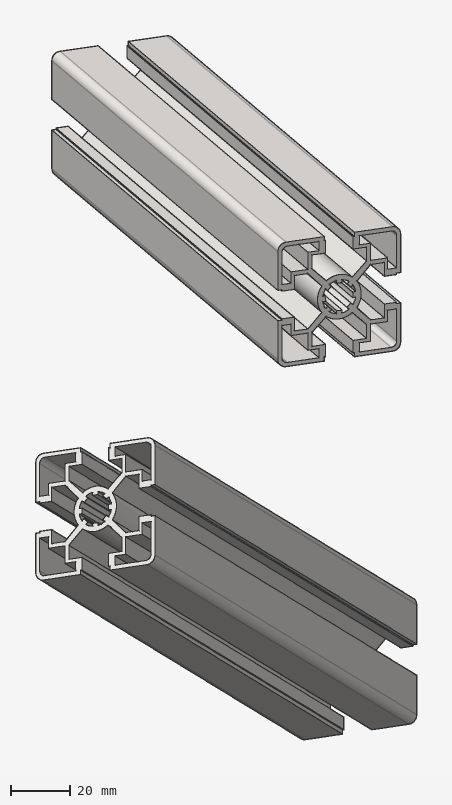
import cadquery as cq
import math

length = 200.0
side = 45.0

wall = 1.5
corner_radius = 3.0
inner_radius = 2.0
lip_floor = 1.2

slot_width = 10.0
slot_mouth_step = 0.5
mouth_step_depth = 1.5
lip_width = 2.5
lip_depth = 6.0
channel_width = 20.0

tube_outer_radius = 8.0
tube_bore_diameter = 12.2
tooth_tip_radius = 5.0
tooth_width = 2.0
tooth_count = 8
web_root_width = 2.5

half = side / 2
inner_face = half - wall
slot_half_width = slot_width / 2
mouth = slot_half_width + slot_mouth_step
mouth_step = half - mouth_step_depth
lip_inner = slot_half_width + lip_width
lip_bottom = half - lip_depth
lip_top = lip_bottom + lip_floor
channel_half_width = channel_width / 2
channel_inner = channel_half_width + wall
tube_inner_radius = tube_bore_diameter / 2
tooth_root_radius = (tube_inner_radius + tube_outer_radius) / 2


def mirrored(points):
    """The same points reflected about the diagonal of the quadrant, in reverse order."""
    return [(z, y) for y, z in reversed(points)]


def extruded(points):
    """Closed Y-Z outline carried along the full length."""
    return cq.Workplane("YZ").polyline(points).close().extrude(length)


def rounded_corner(body, place, radius):
    """Round the lengthwise edge at y = z = place."""
    corner = cq.selectors.NearestToPointSelector((length / 2, place, place))
    return body.edges(corner).fillet(radius)


def corner_hollow():
    """Hollow corner leg with its two slot lips, in the +Y +Z quadrant."""
    outside = [
        (channel_half_width, channel_half_width),
        (channel_half_width, lip_bottom),
        (slot_half_width, lip_bottom),
        (slot_half_width, mouth_step),
        (mouth, mouth_step),
        (mouth, half),
    ]
    cavity = [
        (channel_inner, channel_inner),
        (channel_inner, lip_top),
        (lip_inner, lip_top),
        (lip_inner, inner_face),
    ]
    body = rounded_corner(extruded(outside + [(half, half)] + mirrored(outside)[:-1]), half, corner_radius)
    hollow = rounded_corner(
        extruded(cavity + [(inner_face, inner_face)] + mirrored(cavity)[:-1]), inner_face, inner_radius
    )
    return body.cut(hollow)


def diagonal_web():
    """Web tapering from the corner leg down to the central tube."""
    root_middle = tooth_root_radius / math.sqrt(2)
    root_offset = web_root_width / 2 / math.sqrt(2)
    edge = [
        (root_middle - root_offset, root_middle + root_offset),
        (channel_half_width, channel_inner),
    ]
    return extruded(edge + mirrored(edge))


def central_tube():
    """Round tube whose bore carries straight teeth with tips hollowed to a smaller bore."""
    tube = cq.Workplane("YZ").circle(tube_outer_radius).circle(tube_inner_radius).extrude(length)
    bar = cq.Workplane("YZ").rect(tooth_root_radius * 2, tooth_width).extrude(length)
    for index in range(tooth_count // 2):
        tube = tube.union(bar.rotate((0, 0, 0), (1, 0, 0), index * 360 / tooth_count))
    bore = cq.Workplane("YZ").circle(tooth_tip_radius).extrude(length)
    return tube.cut(bore)


leg = corner_hollow().union(diagonal_web())
result = central_tube()
for quadrant in range(4):
    result = result.union(leg.rotate((0, 0, 0), (1, 0, 0), quadrant * 90))